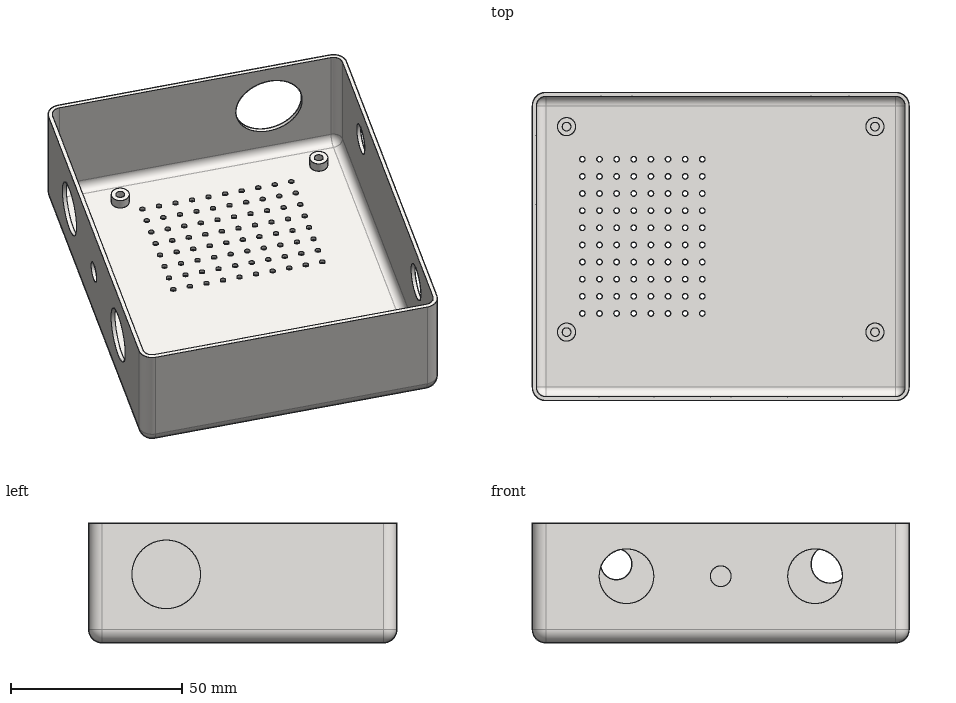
import cadquery as cq

LENGTH = 110.0
WIDTH = 90.0
HEIGHT = 35.0
WALL = 1.2
CORNER_RADIUS = 4.0

POST_DIAMETER = 5.3
POST_BORE = 2.5
POST_HEIGHT = 3.0
POST_X = 45.0
POST_BACK_Y = 35.0
POST_FRONT_Y = -25.0

VENT_DIAMETER = 1.5
VENT_COLUMNS = 8
VENT_ROWS = 10
VENT_GRID_DEPTH = 45.0
VENT_PITCH = VENT_GRID_DEPTH / (VENT_ROWS - 1)
VENT_CENTER_X = -22.9
VENT_CENTER_Y = 3.0

FRONT_OPENING_DIAMETER = 16.0
FRONT_OPENING_X = 27.5
FRONT_CENTER_DIAMETER = 6.0
FRONT_OPENING_Z = 19.5
BACK_OPENING_Z = 23.0
BACK_LEFT_DIAMETER = 9.0
BACK_LEFT_X = -30.5
BACK_RIGHT_DIAMETER = 11.0
BACK_RIGHT_X = 31.9
LEFT_OPENING_DIAMETER = 20.0
LEFT_OPENING_Y = 22.3
LEFT_OPENING_Z = 20.0


def rounded_block(length, width, height, radius, base_z):
    """Block centred on Z with rounded vertical corners and a rounded bottom edge."""
    block = cq.Workplane("XY").box(length, width, height, centered=(True, True, False))
    block = block.edges("|Z or <Z").fillet(radius)
    return block.translate((0, 0, base_z))


def make_shell():
    """Open-topped tray with the same wall thickness on the sides and the floor."""
    outer = rounded_block(LENGTH, WIDTH, HEIGHT, CORNER_RADIUS, 0)
    cavity = rounded_block(
        LENGTH - 2 * WALL, WIDTH - 2 * WALL, HEIGHT, CORNER_RADIUS - WALL, WALL
    )
    return outer.cut(cavity)


def make_posts():
    """Four tubular screw posts whose bores stop at the floor."""
    centers = [(x, y) for x in (-POST_X, POST_X) for y in (POST_FRONT_Y, POST_BACK_Y)]
    floor = cq.Workplane("XY", origin=(0, 0, WALL)).pushPoints(centers)
    posts = floor.circle(POST_DIAMETER / 2).circle(POST_BORE / 2)
    return posts.extrude(POST_HEIGHT)


def make_vents():
    """Grid of small cylinders that pierce the floor."""
    grid = cq.Workplane("XY", origin=(VENT_CENTER_X, VENT_CENTER_Y, 0))
    grid = grid.rarray(VENT_PITCH, VENT_PITCH, VENT_COLUMNS, VENT_ROWS)
    return grid.circle(VENT_DIAMETER / 2).extrude(WALL)


def wall_cutter(diameter, outer_point, inward):
    """Cylinder that pierces one wall, starting at a point on its outer face."""
    start = cq.Vector(*outer_point)
    return cq.Solid.makeCylinder(diameter / 2, WALL, start, cq.Vector(*inward))


def cut_wall_openings(body):
    """Pierce the front, back and left walls."""
    front_y = -WIDTH / 2
    back_y = WIDTH / 2
    into_front = (0, 1, 0)
    into_back = (0, -1, 0)
    into_left = (1, 0, 0)
    openings = [
        (FRONT_OPENING_DIAMETER, (-FRONT_OPENING_X, front_y, FRONT_OPENING_Z), into_front),
        (FRONT_CENTER_DIAMETER, (0, front_y, FRONT_OPENING_Z), into_front),
        (FRONT_OPENING_DIAMETER, (FRONT_OPENING_X, front_y, FRONT_OPENING_Z), into_front),
        (BACK_LEFT_DIAMETER, (BACK_LEFT_X, back_y, BACK_OPENING_Z), into_back),
        (BACK_RIGHT_DIAMETER, (BACK_RIGHT_X, back_y, BACK_OPENING_Z), into_back),
        (LEFT_OPENING_DIAMETER, (-LENGTH / 2, LEFT_OPENING_Y, LEFT_OPENING_Z), into_left),
    ]
    for diameter, outer_point, inward in openings:
        body = body.cut(cq.Workplane(wall_cutter(diameter, outer_point, inward)))
    return body


tray = make_shell().union(make_posts()).cut(make_vents())
result = cut_wall_openings(tray)